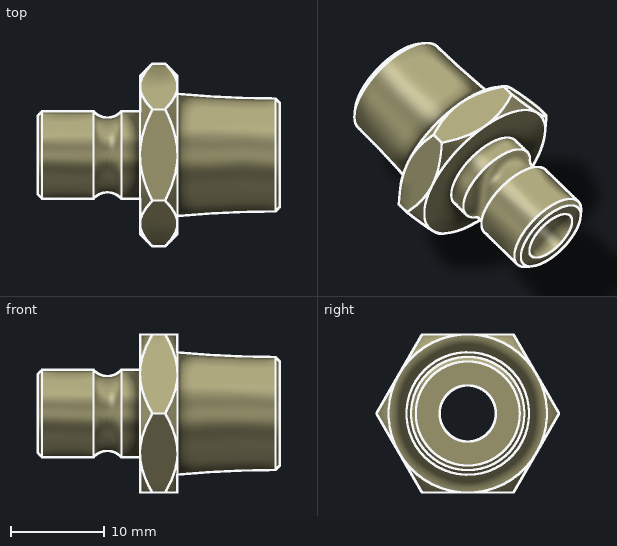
import cadquery as cq
import math

total_length = 26.0
bore_diameter = 6.0
edge_chamfer = 0.5

plug_radius = 4.7
groove_center = 7.5
groove_depth = 0.68
groove_arc_radius = 2.0
groove_drop_from_arc = groove_arc_radius - groove_depth
groove_half_width = math.sqrt(groove_arc_radius**2 - groove_drop_from_arc**2)

hex_start = 11.0
hex_thickness = 4.0
hex_end = hex_start + hex_thickness
hex_across_flats = 17.0
hex_across_corners = hex_across_flats / math.cos(math.radians(30))
hex_chamfer = (hex_across_corners - hex_across_flats) / 2

taper_root_radius = 6.58
taper_tip_radius = 6.08
taper_tip = total_length - edge_chamfer
taper_middle = (hex_end + taper_tip) / 2
taper_middle_radius = taper_tip_radius + (taper_root_radius - taper_tip_radius) / 4


def make_turned_body():
    """Revolve the plug, its groove and the tapered end about the X axis."""
    profile = (
        cq.Workplane("XY")
        .moveTo(0, 0)
        .lineTo(0, plug_radius - edge_chamfer)
        .lineTo(edge_chamfer, plug_radius)
        .lineTo(groove_center - groove_half_width, plug_radius)
        .threePointArc(
            (groove_center, plug_radius - groove_depth),
            (groove_center + groove_half_width, plug_radius),
        )
        .lineTo(hex_end, plug_radius)
        .lineTo(hex_end, taper_root_radius)
        .threePointArc((taper_middle, taper_middle_radius), (taper_tip, taper_tip_radius))
        .lineTo(total_length, taper_tip_radius - edge_chamfer)
        .lineTo(total_length, 0)
        .close()
    )
    return profile.revolve(360, (0, 0, 0), (1, 0, 0))


def make_hex_collar():
    """Intersect a hexagonal prism with a chamfered disc to bevel its corners."""
    prism = (
        cq.Workplane("YZ", origin=(hex_start, 0, 0))
        .polygon(6, hex_across_corners)
        .extrude(hex_thickness)
    )
    disc = (
        cq.Workplane("YZ", origin=(hex_start, 0, 0))
        .circle(hex_across_corners / 2)
        .extrude(hex_thickness)
        .edges("%CIRCLE")
        .chamfer(hex_chamfer)
    )
    return prism.intersect(disc)


def make_bore():
    """Cylinder for the straight hole through the whole fitting."""
    return cq.Workplane("YZ").circle(bore_diameter / 2).extrude(total_length)


result = make_turned_body().union(make_hex_collar()).cut(make_bore())